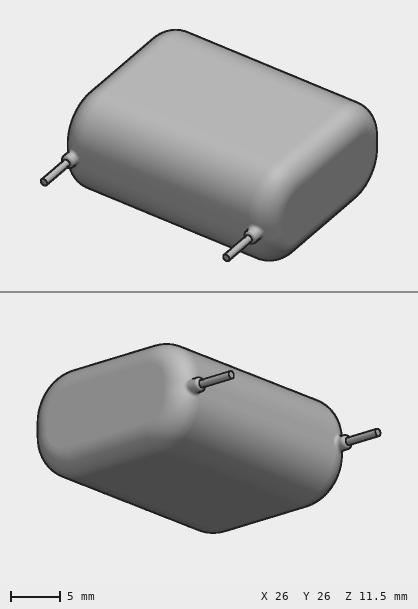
import cadquery as cq
import math

body_width = 26.0
body_depth = 21.0
body_height = 11.5
long_edge_radius = 5.0
end_edge_radius = 2.5

lead_pitch = 22.5
lead_radius = 0.4
lead_length = 5.0

collar_radius = 0.75
collar_length = 1.0
collar_tip_radius = collar_radius - lead_radius
collar_base_radius = 0.35

front_y = -body_depth / 2
lead_tip_y = front_y - lead_length
collar_tip_y = front_y - collar_length
root_y = front_y + end_edge_radius
lead_positions = (-lead_pitch / 2, lead_pitch / 2)


def make_body():
    """Block with rounded long edges, then rounded all round both ends."""
    block = cq.Workplane("XY").box(body_width, body_depth, body_height)
    block = block.edges("|X").fillet(long_edge_radius)
    return block.faces("<X or >X").edges().fillet(end_edge_radius)


def make_lead(x):
    """Lead and its round-tipped collar, turned about an axis along Y."""
    arc_reach = collar_tip_radius * math.sin(math.radians(45))
    arc_middle = (
        collar_tip_y + collar_tip_radius - arc_reach,
        lead_radius + arc_reach,
    )
    half_profile = (
        cq.Workplane("YZ", origin=(x, 0, 0))
        .moveTo(root_y, 0)
        .lineTo(root_y, collar_radius)
        .lineTo(collar_tip_y + collar_tip_radius, collar_radius)
        .threePointArc(arc_middle, (collar_tip_y, lead_radius))
        .lineTo(lead_tip_y, lead_radius)
        .lineTo(lead_tip_y, 0)
        .close()
    )
    axis_start = (root_y, 0)
    axis_end = (lead_tip_y, 0)
    return half_profile.revolve(360, axis_start, axis_end)


def round_collar_base(part, x):
    """Blend one collar into the body where the two surfaces meet."""
    margin = 0.1
    half_size = collar_radius + margin
    near_corner = (x - half_size, front_y - margin, -half_size)
    far_corner = (x + half_size, root_y, half_size)
    base_edges = cq.selectors.BoxSelector(near_corner, far_corner, boundingbox=True)
    return part.edges(base_edges).fillet(collar_base_radius)


result = make_body()
for lead_x in lead_positions:
    result = result.union(make_lead(lead_x))
    result = round_collar_base(result, lead_x)